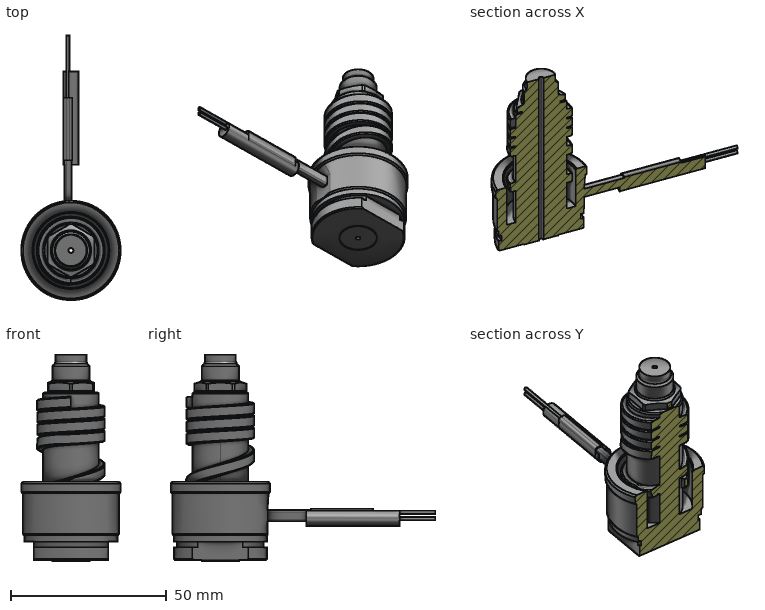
import cadquery as cq
import math

TOTAL_HEIGHT = 66.2
TIP_RADIUS = 5.0
TIP_BOTTOM_Z = 64.1
TIP_FLARE_RADIUS = 5.25
TIP_FLARE_Z = 63.3
NECK_RADIUS = 6.0
NECK_TOP_Z = TIP_FLARE_Z - (NECK_RADIUS - TIP_FLARE_RADIUS)
NECK_BOTTOM_Z = 58.0
NECK_FLARE = 0.5
STEM_RADIUS = 9.0
STEM_TOP_Z = 54.2
STEM_CHAMFER = 0.5
BORE_DIAMETER = 1.5

HEX_SIDES = 6
HEX_HALF_ANGLE = 180 / HEX_SIDES
HEX_ACROSS_FLATS = 15.0
HEX_CORNER_RADIUS = 8.42
HEX_BOTTOM_Z = 54.6
HEX_EDGE_Z = 56.9
HEX_TOP_Z = NECK_BOTTOM_Z - NECK_FLARE
HEX_SEAT_RADIUS = 6.75

COLLAR_RADIUS = 16.0
COLLAR_TOP_Z = 25.45
COLLAR_BOTTOM_Z = 22.2
BODY_RADIUS = 15.5
BODY_BOTTOM_Z = 8.7
FLANGE_RADIUS = 15.0
FLANGE_BOTTOM_Z = 6.2
HOUSING_CHAMFER = 0.5
COLLAR_CHAMFER = 0.6
CUP_RADIUS = 12.0
CUP_FLOOR_THICKNESS = 4.0
CUP_FLOOR_Z = FLANGE_BOTTOM_Z + CUP_FLOOR_THICKNESS
CUP_CHAMFER = 0.4

FOOT_RADIUS = 15.0
FOOT_TOP_Z = 4.4
FOOT_NECK_RADIUS = 14.0
FOOT_CHAMFER = 0.4
FOOT_HALF_ACROSS_FLATS = 12.0
PAD_RADIUS = 6.0
PAD_HEIGHT = 0.25

RELIEF_Y = 15.15
RELIEF_TAPER_Z = 16.6

RIDGE_RADIUS = 10.9
RIDGE_WIDTH = 3.6
RIDGE_CHAMFER_RADIAL = 0.5
RIDGE_CHAMFER_AXIAL = 0.35
RIDGE_FLARE_RADIAL = 0.45
RIDGE_FLARE_AXIAL = 0.12
RIDGE_ROOT_OVERLAP = 0.3
RIDGE_START_ANGLE = -90.0
RIDGE_START_Z = 50.95
CLOSE_PITCH = 3.93
LONG_PITCH = 18.0
TAIL_PITCH = 2.0
LONG_LEAD_START = 3.05
LONG_LEAD_FULL = 3.48
LONG_LEAD_END = 4.0
TAIL_START = 4.19
RIDGE_TURNS = 4.9
PITCH_STATIONS = [
    (0.0, CLOSE_PITCH),
    (LONG_LEAD_START, CLOSE_PITCH),
    (LONG_LEAD_FULL, LONG_PITCH),
    (LONG_LEAD_END, LONG_PITCH),
    (TAIL_START, TAIL_PITCH),
    (RIDGE_TURNS, TAIL_PITCH),
]
POINTS_PER_TURN = 36

CABLE_X = -0.9
CABLE_Z = 14.58
CABLE_WIDTH = 2.4
CABLE_HEIGHT = 3.7
CABLE_CORNER = 0.6
CABLE_START_Y = 14.0
CLAMP_X = -1.0
CLAMP_WIDTH = 3.0
CLAMP_HEIGHT = 4.5
CLAMP_CORNER = 1.0
CLAMP_START_Y = 29.0
CLAMP_LENGTH = 20.0
SLEEVE_DIAMETER = 5.0
SLEEVE_Z = 13.7
SLEEVE_START_Y = 27.5
SLEEVE_LENGTH = 30.0
WIRE_DIAMETER = 1.1
WIRE_SPACING = 2.0
WIRE_END_Y = 69.0


def disc(radius, bottom_z, top_z):
    """Solid cylinder on the Z axis between two heights."""
    return cq.Workplane("XY").workplane(offset=bottom_z).circle(radius).extrude(top_z - bottom_z)


def revolved(points):
    """Turn a closed (radius, height) outline around the Z axis."""
    return cq.Workplane("XZ").polyline(points).close().revolve(360, (0, 0, 0), (0, 1, 0))


def make_stem():
    """Stem, hexagon seat, neck and tip as one turned profile."""
    return revolved([
        (0, CUP_FLOOR_Z),
        (STEM_RADIUS, CUP_FLOOR_Z),
        (STEM_RADIUS, STEM_TOP_Z - STEM_CHAMFER),
        (STEM_RADIUS - STEM_CHAMFER, STEM_TOP_Z),
        (HEX_SEAT_RADIUS, STEM_TOP_Z),
        (HEX_SEAT_RADIUS, HEX_BOTTOM_Z),
        (NECK_RADIUS, HEX_BOTTOM_Z),
        (NECK_RADIUS, NECK_TOP_Z),
        (TIP_FLARE_RADIUS, TIP_FLARE_Z),
        (TIP_RADIUS, TIP_BOTTOM_Z),
        (TIP_RADIUS, TOTAL_HEIGHT),
        (0, TOTAL_HEIGHT),
    ])


def make_hexagon():
    """Hexagon with flats on +/-X, trimmed to round corners and a conical top."""
    across_corners = HEX_ACROSS_FLATS / math.cos(math.radians(HEX_HALF_ANGLE))
    prism = (
        cq.Workplane("XY")
        .workplane(offset=HEX_BOTTOM_Z)
        .transformed(rotate=(0, 0, HEX_HALF_ANGLE))
        .polygon(HEX_SIDES, across_corners)
        .extrude(NECK_BOTTOM_Z - HEX_BOTTOM_Z)
    )
    envelope = revolved([
        (0, HEX_BOTTOM_Z),
        (HEX_CORNER_RADIUS, HEX_BOTTOM_Z),
        (HEX_CORNER_RADIUS, HEX_EDGE_Z),
        (NECK_RADIUS + NECK_FLARE, HEX_TOP_Z),
        (NECK_RADIUS, NECK_BOTTOM_Z),
        (0, NECK_BOTTOM_Z),
    ])
    return prism.intersect(envelope)


def make_housing():
    """Collared cup with a tapered flat on +Y where the cable leaves."""
    chamfer = HOUSING_CHAMFER
    housing = revolved([
        (0, FLANGE_BOTTOM_Z),
        (FLANGE_RADIUS, FLANGE_BOTTOM_Z),
        (FLANGE_RADIUS, BODY_BOTTOM_Z - chamfer),
        (BODY_RADIUS, BODY_BOTTOM_Z),
        (BODY_RADIUS, COLLAR_BOTTOM_Z - chamfer),
        (COLLAR_RADIUS, COLLAR_BOTTOM_Z),
        (COLLAR_RADIUS, COLLAR_TOP_Z - COLLAR_CHAMFER),
        (COLLAR_RADIUS - COLLAR_CHAMFER, COLLAR_TOP_Z),
        (CUP_RADIUS + CUP_CHAMFER, COLLAR_TOP_Z),
        (CUP_RADIUS, COLLAR_TOP_Z - CUP_CHAMFER),
        (CUP_RADIUS, CUP_FLOOR_Z),
        (0, CUP_FLOOR_Z),
    ])
    relief = (
        cq.Workplane("YZ")
        .polyline([
            (RELIEF_Y, BODY_BOTTOM_Z - chamfer),
            (RELIEF_Y, RELIEF_TAPER_Z),
            (BODY_RADIUS, COLLAR_BOTTOM_Z - chamfer),
            (COLLAR_RADIUS, COLLAR_BOTTOM_Z - chamfer),
            (COLLAR_RADIUS, BODY_BOTTOM_Z - chamfer),
        ])
        .close()
        .extrude(BODY_RADIUS, both=True)
    )
    return housing.cut(relief)


def make_foot():
    """Necked disc trimmed by flats on +/-X, with a round pad on its underside."""
    lower = disc(FOOT_RADIUS, PAD_HEIGHT, FOOT_TOP_Z).faces("<Z").chamfer(FOOT_CHAMFER)
    foot = lower.union(disc(FOOT_NECK_RADIUS, FOOT_TOP_Z, FLANGE_BOTTOM_Z))
    slab = cq.Workplane("XY").box(
        2 * FOOT_HALF_ACROSS_FLATS, 2 * FOOT_RADIUS, FLANGE_BOTTOM_Z, centered=(True, True, False)
    )
    return foot.intersect(slab).union(disc(PAD_RADIUS, 0, PAD_HEIGHT))


def ridge_drop(turns):
    """Descent of the ridge from its top end: the pitch summed over the turns made."""
    drop = 0.0
    for (start, start_pitch), (end, end_pitch) in zip(PITCH_STATIONS, PITCH_STATIONS[1:]):
        made = min(max(turns - start, 0.0), end - start)
        pitch_reached = start_pitch + (end_pitch - start_pitch) * made / (end - start)
        drop += made * (start_pitch + pitch_reached) / 2
    return drop


def ridge_point(turns):
    """Point on the stem surface along the middle of the ridge."""
    angle = math.radians(RIDGE_START_ANGLE - 360 * turns)
    return (
        STEM_RADIUS * math.cos(angle),
        STEM_RADIUS * math.sin(angle),
        RIDGE_START_Z - ridge_drop(turns),
    )


def make_ridge():
    """Rib with a flared root and chamfered crest, swept along the variable-pitch helix."""
    steps = round(RIDGE_TURNS * POINTS_PER_TURN)
    path = cq.Workplane("XY").spline([ridge_point(RIDGE_TURNS * i / steps) for i in range(steps + 1)])
    root = -RIDGE_ROOT_OVERLAP
    crest = RIDGE_RADIUS - STEM_RADIUS
    half_side = RIDGE_WIDTH / 2
    half_root = half_side + RIDGE_FLARE_AXIAL
    half_crest = half_side - RIDGE_CHAMFER_AXIAL
    start_plane = cq.Plane(origin=ridge_point(0), xDir=(0, -1, 0), normal=(-1, 0, 0))
    section = cq.Workplane(start_plane).polyline([
        (root, -half_root),
        (0, -half_root),
        (RIDGE_FLARE_RADIAL, -half_side),
        (crest - RIDGE_CHAMFER_RADIAL, -half_side),
        (crest, -half_crest),
        (crest, half_crest),
        (crest - RIDGE_CHAMFER_RADIAL, half_side),
        (RIDGE_FLARE_RADIAL, half_side),
        (0, half_root),
        (root, half_root),
    ]).close()
    return section.sweep(path, isFrenet=True)


def along_y(x, z, start_y):
    """Workplane facing +Y, with local X on -X and local Y on Z."""
    return cq.Workplane(cq.Plane(origin=(x, start_y, z), xDir=(-1, 0, 0), normal=(0, 1, 0)))


def rounded_bar(x, z, start_y, length, width, height, corner):
    """Rectangular bar along +Y with its long edges rounded."""
    return along_y(x, z, start_y).rect(width, height).extrude(length).edges("|Y").fillet(corner)


def make_cable():
    """Flat cable, clamp and round sleeve, ending in two separate wires."""
    cable_length = CLAMP_START_Y + CLAMP_LENGTH / 2 - CABLE_START_Y
    cable = rounded_bar(
        CABLE_X, CABLE_Z, CABLE_START_Y, cable_length, CABLE_WIDTH, CABLE_HEIGHT, CABLE_CORNER
    )
    clamp = rounded_bar(
        CLAMP_X, CABLE_Z, CLAMP_START_Y, CLAMP_LENGTH, CLAMP_WIDTH, CLAMP_HEIGHT, CLAMP_CORNER
    )
    sleeve = along_y(0, SLEEVE_Z, SLEEVE_START_Y).circle(SLEEVE_DIAMETER / 2).extrude(SLEEVE_LENGTH)
    cable = cable.union(clamp).union(sleeve)
    for side in (-1, 1):
        wire_z = CABLE_Z + side * WIRE_SPACING / 2
        wire = along_y(CLAMP_X, wire_z, CLAMP_START_Y).circle(WIRE_DIAMETER / 2)
        cable = cable.union(wire.extrude(WIRE_END_Y - CLAMP_START_Y))
    return cable


result = make_housing().union(make_stem()).union(make_ridge())
result = result.union(make_hexagon()).union(make_foot()).union(make_cable())
result = result.cut(disc(BORE_DIAMETER / 2, 0, TOTAL_HEIGHT))